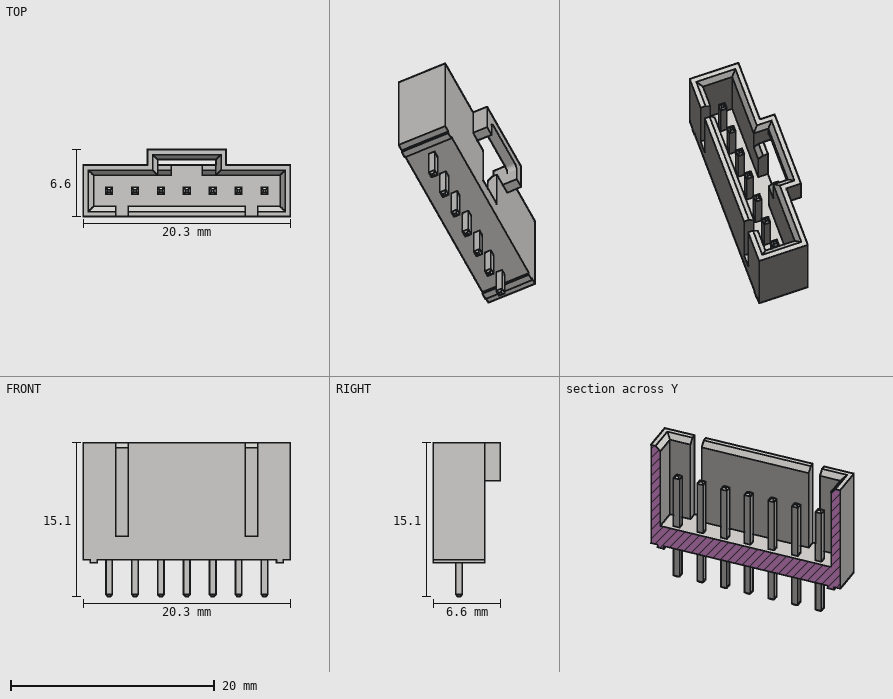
import cadquery as cq

pin_count = 7
pin_pitch = 2.55
pin_side = 0.65
pin_taper = 0.2
pin_bottom_z = -3.6
pin_top_z = 8.13

length = 20.33
depth = 5.08
floor_z = 2.32
cavity_depth = 9.19
wall = 1.02
rim_chamfer = 0.5
rim_z = floor_z + cavity_depth
front_y = -depth / 2
back_y = depth / 2
back_wall_y = back_y - wall

key_width = 7.73
key_depth = 1.52
key_height = 3.76
key_z = rim_z - key_height
key_back_y = back_y + key_depth
bay_width = key_width - 2 * wall

window_height = 2.25
window_radius = 0.5

slot_width = 1.2
slot_offset = 2.5 * pin_pitch
notch_width = 3.05

foot_width = 0.7
foot_height = 0.3
foot_offset = 9.13


def block(center_x, width, y0, y1, z0, z1):
    """Box centred on center_x that spans y0..y1 and z0..z1."""
    corner = (center_x - width / 2, y0, z0)
    return cq.Workplane("XY", origin=corner).box(width, y1 - y0, z1 - z0, centered=False)


def flared_pocket(width, y0, y1, bottom_z):
    """Pocket up to the rim whose mouth widens by the rim chamfer on all four sides."""
    flare = (
        cq.Workplane("XY", origin=(0, (y0 + y1) / 2, rim_z - rim_chamfer))
        .rect(width, y1 - y0)
        .workplane(offset=rim_chamfer)
        .rect(width + 2 * rim_chamfer, y1 - y0 + 2 * rim_chamfer)
        .loft(ruled=True)
    )
    return block(0, width, y0, y1, bottom_z, rim_z).union(flare)


def make_shell():
    """Open-topped housing with the keying tab hollowed into its back wall."""
    body = block(0, length, front_y, back_y, 0, rim_z)
    key = block(0, key_width, 0, key_back_y, key_z, rim_z)
    cavity = flared_pocket(length - 2 * wall, front_y + wall, back_wall_y, floor_z)
    bay = flared_pocket(bay_width, 0, key_back_y - wall, key_z)
    return body.union(key).cut(cavity).cut(bay)


def make_ledge_chamfer():
    """Lead-in on the inner edge of the lowered back wall below the bay."""
    return (
        cq.Workplane("YZ", origin=(-bay_width / 2, 0, 0))
        .moveTo(back_wall_y, key_z - rim_chamfer)
        .lineTo(back_wall_y + rim_chamfer, key_z)
        .lineTo(back_wall_y, key_z)
        .close()
        .extrude(bay_width)
    )


def make_key_window():
    window = block(0, bay_width, back_y, key_back_y, key_z, key_z + window_height)
    return window.edges("|Y and >Z").fillet(window_radius)


def make_notch():
    """Gap in the lowered back wall, down to the cavity floor."""
    return block(0, notch_width, 0, back_y, floor_z, key_z)


def make_slot(x):
    """Slot in the front wall, from the rim down to the cavity floor."""
    return block(x, slot_width, front_y, front_y + wall, floor_z, rim_z)


def make_foot(x):
    return block(x, foot_width, front_y, back_y, -foot_height, 0)


def make_pin(x):
    pin = block(x, pin_side, -pin_side / 2, pin_side / 2, pin_bottom_z, pin_top_z)
    return pin.faces("<Z or >Z").chamfer(pin_taper)


result = make_shell().cut(make_ledge_chamfer()).cut(make_key_window()).cut(make_notch())

for side in (-1, 1):
    result = result.cut(make_slot(side * slot_offset))
    result = result.union(make_foot(side * foot_offset))

for i in range(pin_count):
    pin_x = (i - (pin_count - 1) / 2) * pin_pitch
    result = result.union(make_pin(pin_x))